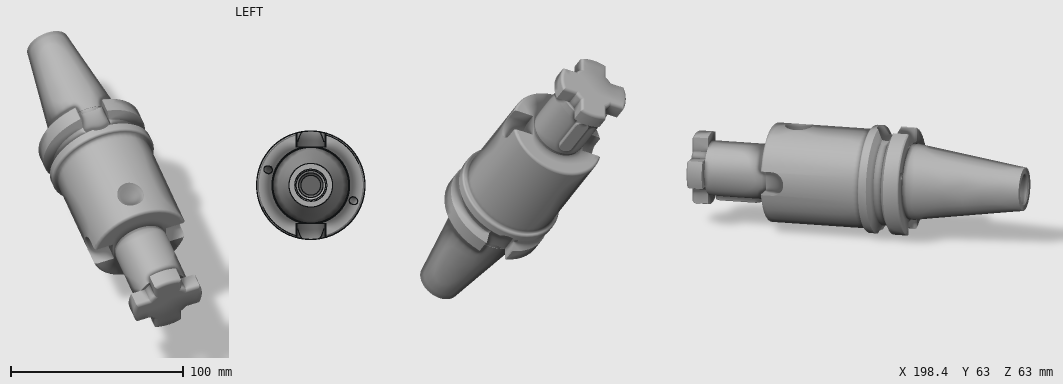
import cadquery as cq
import math

OVERALL_LENGTH = 198.4

TAPER_LENGTH = 65.5
TAPER_LARGE_RADIUS = 22.2
TAPER_RATIO = 7 / 24
TAPER_SMALL_RADIUS = TAPER_LARGE_RADIUS - TAPER_LENGTH * TAPER_RATIO / 2
NECK_RADIUS = 22.0
FACE_RELIEF_RADIUS = 22.6
FACE_RELIEF_DEPTH = 0.5

FLANGE_FRONT = 67.5
FLANGE_REAR = 92.0
FLANGE_RADIUS = 31.5
FLANGE_FRONT_FILLET = 1.0
GROOVE_RADIUS = 26.5
GROOVE_FRONT = 76.5
GROOVE_FLOOR_FRONT = 79.5
GROOVE_FLOOR_REAR = 83.7
GROOVE_REAR = 86.9

BODY_RADIUS = 29.0
BODY_END = 151.5
BODY_FRONT_FILLET = 1.4
FLANGE_REAR_FILLET = FLANGE_RADIUS - BODY_RADIUS - BODY_FRONT_FILLET
BODY_END_FILLET = 1.5

SPIGOT_RADIUS = 16.0
SPIGOT_END = 187.7
RELIEF_DEPTH = 0.4
RELIEF_LENGTH = 1.0
RELIEF_RUNOUT = 1.2
LEAD_IN_START = 184.1
LEAD_IN_RADIUS = 15.9

FLANGE_SLOT_WIDTH = 16.3
FLANGE_SLOT_END = 88.7
FLANGE_SLOT_FLOOR = 22.2
FLANGE_SLOT_CHAMFER = 0.5

BODY_SLOT_WIDTH = 14.0
BODY_SLOT_START = 137.5
BODY_SLOT_FLOOR = SPIGOT_RADIUS

DIMPLE_X = 136.1
DIMPLE_CENTRE_Z = 33.0
DIMPLE_RADIUS = 9.1

BORE_MOUTH_RADIUS = 9.3
COUNTERBORE_RADIUS = 8.5
COUNTERBORE_DEPTH = 6.5
THREAD_RADIUS = 7.1
THREAD_END = 39.7
BORE_FLOOR_RADIUS = 5.8

COOLANT_RADIUS = 2.2
COOLANT_PLACE_RADIUS = 26.4
COOLANT_ANGLE = 20.0
COOLANT_TILT = 30.0
COOLANT_LENGTH = 12.0

KEY_START = 158.1
KEY_END = 186.0
KEY_WIDTH = 8.0
KEY_HEIGHT = 7.0
KEY_OUTER = 18.3
KEY_CHAMFER = 0.4

HEAD_RADIUS = 21.2
HEAD_CORE_RADIUS = 13.9
HEAD_LOBE_WIDTH = 16.3
HEAD_START = 188.9
HEAD_FILLET = 1.8


def arbor_blank():
    relief_radius = SPIGOT_RADIUS - RELIEF_DEPTH
    profile = (
        cq.Workplane("XY")
        .moveTo(0, 0)
        .lineTo(0, TAPER_SMALL_RADIUS)
        .lineTo(TAPER_LENGTH, TAPER_LARGE_RADIUS)
        .lineTo(TAPER_LENGTH, NECK_RADIUS)
        .lineTo(FLANGE_FRONT + FACE_RELIEF_DEPTH, NECK_RADIUS)
        .lineTo(FLANGE_FRONT + FACE_RELIEF_DEPTH, FACE_RELIEF_RADIUS)
        .lineTo(FLANGE_FRONT, FACE_RELIEF_RADIUS)
        .lineTo(FLANGE_FRONT, FLANGE_RADIUS - FLANGE_FRONT_FILLET)
        .radiusArc((FLANGE_FRONT + FLANGE_FRONT_FILLET, FLANGE_RADIUS), FLANGE_FRONT_FILLET)
        .lineTo(GROOVE_FRONT, FLANGE_RADIUS)
        .lineTo(GROOVE_FLOOR_FRONT, GROOVE_RADIUS)
        .lineTo(GROOVE_FLOOR_REAR, GROOVE_RADIUS)
        .lineTo(GROOVE_REAR, FLANGE_RADIUS)
        .lineTo(FLANGE_REAR - FLANGE_REAR_FILLET, FLANGE_RADIUS)
        .radiusArc((FLANGE_REAR, FLANGE_RADIUS - FLANGE_REAR_FILLET), FLANGE_REAR_FILLET)
        .radiusArc((FLANGE_REAR + BODY_FRONT_FILLET, BODY_RADIUS), -BODY_FRONT_FILLET)
        .lineTo(BODY_END - BODY_END_FILLET, BODY_RADIUS)
        .radiusArc((BODY_END, BODY_RADIUS - BODY_END_FILLET), BODY_END_FILLET)
        .lineTo(BODY_END, relief_radius)
        .lineTo(BODY_END + RELIEF_LENGTH, relief_radius)
        .lineTo(BODY_END + RELIEF_LENGTH + RELIEF_RUNOUT, SPIGOT_RADIUS)
        .lineTo(LEAD_IN_START, SPIGOT_RADIUS)
        .lineTo(SPIGOT_END, LEAD_IN_RADIUS)
        .lineTo(SPIGOT_END, 0)
        .close()
    )
    return profile.revolve(360, (0, 0, 0), (1, 0, 0))


def flange_slot():
    """Cutter for the +Z flange slot: open at the front, round at the rear, with bevelled wall edges."""
    half_width = FLANGE_SLOT_WIDTH / 2
    arc_centre = FLANGE_SLOT_END - half_width
    channel = (
        cq.Workplane("XY")
        .workplane(offset=FLANGE_SLOT_FLOOR)
        .moveTo(TAPER_LENGTH, -half_width)
        .lineTo(arc_centre, -half_width)
        .threePointArc((FLANGE_SLOT_END, 0), (arc_centre, half_width))
        .lineTo(TAPER_LENGTH, half_width)
        .close()
        .extrude(FLANGE_RADIUS)
    )
    flared_half_width = half_width + 2 * FLANGE_SLOT_CHAMFER
    front_bevel = (
        cq.Workplane("XY")
        .workplane(offset=FLANGE_SLOT_FLOOR)
        .moveTo(FLANGE_FRONT - FLANGE_SLOT_CHAMFER, -flared_half_width)
        .lineTo(FLANGE_FRONT + FLANGE_SLOT_CHAMFER, -half_width)
        .lineTo(FLANGE_FRONT + FLANGE_SLOT_CHAMFER, half_width)
        .lineTo(FLANGE_FRONT - FLANGE_SLOT_CHAMFER, flared_half_width)
        .close()
        .extrude(FLANGE_RADIUS)
    )
    wall_top = math.sqrt(FLANGE_RADIUS**2 - half_width**2)
    rim_bevel = (
        cq.Workplane("YZ")
        .workplane(offset=FLANGE_FRONT)
        .moveTo(-half_width, wall_top - FLANGE_SLOT_CHAMFER)
        .lineTo(half_width, wall_top - FLANGE_SLOT_CHAMFER)
        .lineTo(flared_half_width, wall_top + FLANGE_SLOT_CHAMFER)
        .lineTo(-flared_half_width, wall_top + FLANGE_SLOT_CHAMFER)
        .close()
        .extrude(GROOVE_FRONT - FLANGE_FRONT)
    )
    return channel.union(front_bevel).union(rim_bevel)


def body_slot():
    """Cutter for the -Y body slot: round at the front, open at the rear."""
    half_width = BODY_SLOT_WIDTH / 2
    arc_centre = BODY_SLOT_START + half_width
    return (
        cq.Workplane("XZ")
        .workplane(offset=BODY_SLOT_FLOOR)
        .moveTo(BODY_END, -half_width)
        .lineTo(arc_centre, -half_width)
        .threePointArc((BODY_SLOT_START, 0), (arc_centre, half_width))
        .lineTo(BODY_END, half_width)
        .close()
        .extrude(BODY_RADIUS)
    )


def pull_stud_bore():
    """Cutter for the bore: chamfered mouth, counterbore, thread core and blunt conical bottom."""
    mouth_chamfer = BORE_MOUTH_RADIUS - COUNTERBORE_RADIUS
    floor_chamfer = THREAD_RADIUS - BORE_FLOOR_RADIUS
    profile = (
        cq.Workplane("XY")
        .moveTo(0, 0)
        .lineTo(0, BORE_MOUTH_RADIUS)
        .lineTo(mouth_chamfer, COUNTERBORE_RADIUS)
        .lineTo(COUNTERBORE_DEPTH, COUNTERBORE_RADIUS)
        .lineTo(COUNTERBORE_DEPTH + COUNTERBORE_RADIUS - THREAD_RADIUS, THREAD_RADIUS)
        .lineTo(THREAD_END, THREAD_RADIUS)
        .lineTo(THREAD_END + floor_chamfer, BORE_FLOOR_RADIUS)
        .lineTo(THREAD_END + floor_chamfer, 0)
        .close()
    )
    return profile.revolve(360, (0, 0, 0), (1, 0, 0))


def coolant_hole():
    """Cutter for the +Y coolant hole, sloping from the flange face towards the axis."""
    tilt = math.radians(COOLANT_TILT)
    angle = math.radians(COOLANT_ANGLE)
    mouth = cq.Vector(
        FLANGE_FRONT,
        COOLANT_PLACE_RADIUS * math.cos(angle),
        COOLANT_PLACE_RADIUS * math.sin(angle),
    )
    inward = cq.Vector(
        math.cos(tilt),
        -math.sin(tilt) * math.cos(angle),
        -math.sin(tilt) * math.sin(angle),
    )
    start = mouth - inward * COOLANT_RADIUS
    drill = cq.Solid.makeCylinder(COOLANT_RADIUS, COOLANT_LENGTH + COOLANT_RADIUS, start, inward)
    return cq.Workplane("XY").add(drill)


def build_key():
    length = KEY_END - KEY_START
    return (
        cq.Workplane("XY")
        .workplane(offset=-KEY_OUTER)
        .center((KEY_START + KEY_END) / 2, 0)
        .slot2D(length, KEY_WIDTH)
        .extrude(KEY_HEIGHT)
        .faces("<Z")
        .chamfer(KEY_CHAMFER)
    )


def build_screw_head():
    """Cross-shaped head: four lobes around a round core, on a collar that meets the spigot."""
    thickness = OVERALL_LENGTH - HEAD_START
    base = cq.Workplane("YZ").workplane(offset=HEAD_START)
    cross = base.circle(HEAD_CORE_RADIUS).extrude(thickness)
    for turn in (0, 90):
        bar = base.rect(2 * HEAD_RADIUS, HEAD_LOBE_WIDTH).extrude(thickness)
        cross = cross.union(bar.rotate((0, 0, 0), (1, 0, 0), turn))
    disc = base.circle(HEAD_RADIUS).extrude(thickness)
    head = cross.intersect(disc).faces(">X").edges().fillet(HEAD_FILLET)
    collar = base.circle(LEAD_IN_RADIUS).extrude(SPIGOT_END - HEAD_START)
    return head.union(collar)


def build_arbor(key):
    arbor = arbor_blank().cut(pull_stud_bore())
    for turn in (0, 180):
        for cutter in (flange_slot(), body_slot(), coolant_hole()):
            arbor = arbor.cut(cutter.rotate((0, 0, 0), (1, 0, 0), turn))
    dimple = cq.Workplane("XY").sphere(DIMPLE_RADIUS).translate((DIMPLE_X, 0, DIMPLE_CENTRE_Z))
    return arbor.cut(dimple).cut(key)


key = build_key()
screw_head = build_screw_head()
arbor = build_arbor(key)

result = cq.Compound.makeCompound([arbor.val(), key.val(), screw_head.val()])